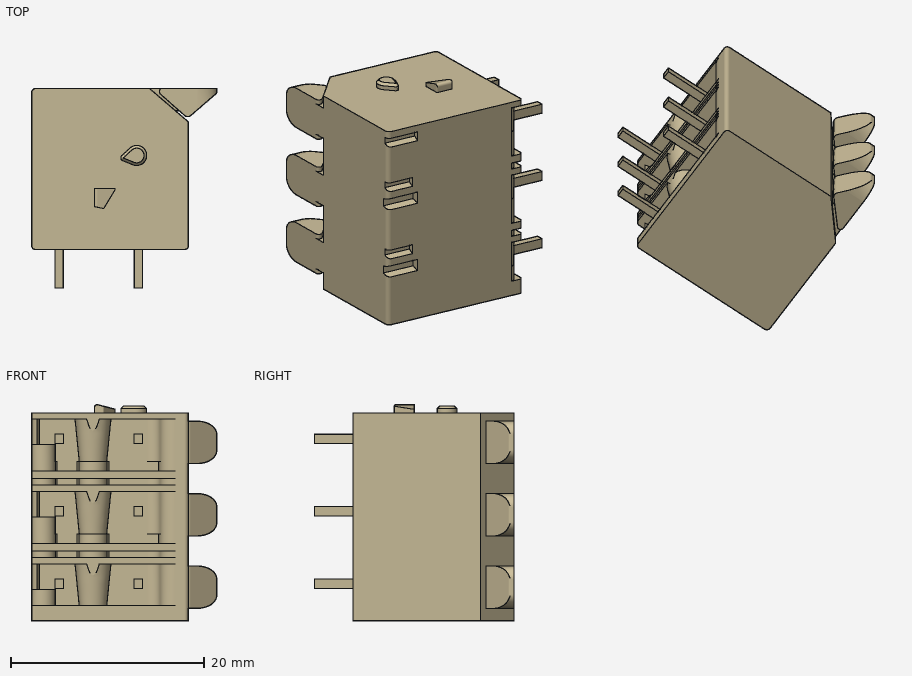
import cadquery as cq
import math


width = 16.25
depth = 16.7
height = 21.55
front_corner_radius = 0.4
rear_corner_radius = 0.45
chamfer_x = 4.05
chamfer_y = 3.47

pole_count = 3
pole_pitch = 7.5
pocket_right = 14.85
pocket_depth = 1.95
pocket_top = 5.92
pocket_bottom = 0.55
lowest_pocket_bottom = 1.6
slot_bottom = -0.9
slot_top = -0.25
foot_top = 1.5
foot_flare = 0.18

column_radius = 1.26
column_x = 1.2
column_y = 1.77
column_top = 3.27
rib_tip_x = 0.5
rib_root_x = 0.82
rib_radius = 1.23
side_opening_depth = 1.39

cone_x = 6.36
cone_y = 1.75
cone_top_radius = 1.87
cone_bottom_radius = 1.43
collar_radius = 1.46

curve_start_x = 12.02
curve_middle_x = 13.34
relief_x = 13.14

pin_width = 0.88
pin_height = 1.0
pin_length = 4.0
pin_z = 3.86
pin_xs = (2.86, 11.06)

lever_end_x = 19.2
lever_height = 4.4
lever_z = 3.5
lever_left_x = 13.25
lever_tip_x = 16.17
lever_tip_drop = 3.1
lever_left_drop = 0.5
lever_end_drop = 0.48
lever_corner_radius = 0.3
lever_tip_radius = 0.5
nose_length = 2.0
nose_rise = 1.4
stem_drop = 2.33
stem_inset = 0.5

narrow_groove_depth = 0.55
wide_groove_depth = 0.85
narrow_groove_flat = 0.64
narrow_groove_slope = 0.34
wide_groove_flat = 0.76
wide_groove_upper_slope = 0.24
wide_groove_lower_slope = 0.24
highest_groove_top = 20.8
narrow_groove_top = 0.84
wide_groove_top = -0.92
short_groove_length = 3.03
long_groove_length = 3.68

drop_key_height = 0.72
drop_key_chamfer = 0.28
drop_big_x = 10.89
drop_big_y = depth - 6.95
drop_big_radius = 1.04
drop_small_x = 9.55
drop_small_y = depth - 7.2
drop_small_radius = 0.31
wedge_high = 0.95
wedge_low = 0.37
wedge_left = 6.5
wedge_right = 8.75
wedge_tip_x = 7.47
wedge_rear_y = depth - 10.35
wedge_left_y = depth - 12.25
wedge_tip_y = depth - 12.45
wedge_corner_radius = 0.12
wedge_edge_radius = 0.3


def block(x0, x1, y0, y1, z0, z1):
    """Box given by its limits along each axis."""
    return cq.Workplane("XY").box(x1 - x0, y1 - y0, z1 - z0, centered=False).translate((x0, y0, z0))


def prism(points, z0, z1):
    """Polygon in the XY plane raised from z0 to z1."""
    return cq.Workplane("XY").workplane(offset=z0).polyline(points).close().extrude(z1 - z0)


def rod(x, y, radius, z0, z1):
    """Upright cylinder from z0 to z1."""
    return cq.Workplane("XY").workplane(offset=z0).center(x, y).circle(radius).extrude(z1 - z0)


def housing():
    body = block(0, width, 0, depth, 0, height)
    body = body.edges("|Z and <Y").fillet(front_corner_radius)
    body = body.edges("|Z and >Y and <X").fillet(rear_corner_radius)
    corner = [(width - chamfer_x, depth), (width, depth - chamfer_y), (width, depth)]
    return body.cut(prism(corner, 0, height))


def foot(x, y, radius, z0, z1):
    """Flared foot where a column meets the pocket floor."""
    outer = radius + foot_flare
    outline = [(x - radius, y), (x + radius, y), (x + outer, pocket_depth), (x - outer, pocket_depth)]
    return prism(outline, z0, z1)


def left_column(base):
    """Round column carrying a slightly slimmer part cut back to a thin rib along the side wall."""
    bottom = base + slot_bottom
    ledge = base + column_top
    top = base + pocket_top
    column = rod(column_x, column_y, column_radius, bottom, ledge)
    rib_round = rod(column_x, column_y, rib_radius, ledge, top)
    column = column.union(rib_round)
    column = column.union(block(0, column_x, side_opening_depth, pocket_depth, bottom, top))
    column_right = column_x + column_radius
    cutaway = prism(
        [
            (rib_tip_x, 0),
            (rib_tip_x, column_y - rib_radius),
            (rib_root_x, pocket_depth),
            (column_right, pocket_depth),
            (column_right, 0),
        ],
        ledge,
        top,
    )
    column = column.cut(cutaway)
    return column.union(foot(column_x, column_y, column_radius, bottom, base + foot_top))


def middle_column(base):
    """Cone that widens upward, standing on a round collar."""
    cone = cq.Workplane(
        cq.Solid.makeCone(
            cone_bottom_radius,
            cone_top_radius,
            pocket_top - foot_top,
            cq.Vector(cone_x, cone_y, base + foot_top),
            cq.Vector(0, 0, 1),
        )
    )
    bottom = base + slot_bottom
    top = base + foot_top
    collar = rod(cone_x, cone_y, collar_radius, bottom, top)
    return cone.union(collar).union(foot(cone_x, cone_y, collar_radius, bottom, top))


def curved_wall(base):
    """S-shaped wall from the pocket floor to the front face, relieved just above the partition."""
    share = (pocket_right - curve_middle_x) / (pocket_right - curve_start_x)
    curve_middle_y = pocket_depth * share
    wall = (
        cq.Workplane("XY")
        .workplane(offset=base + slot_bottom)
        .moveTo(width - front_corner_radius, 0)
        .lineTo(pocket_right, 0)
        .tangentArcPoint((curve_middle_x, curve_middle_y), relative=False)
        .tangentArcPoint((curve_start_x, pocket_depth), relative=False)
        .lineTo(width - front_corner_radius, pocket_depth)
        .close()
        .extrude(pocket_top - slot_bottom)
    )
    relief = prism(
        [
            (curve_start_x, 0),
            (curve_middle_x, 0),
            (curve_middle_x, curve_middle_y),
            (relief_x, pocket_depth),
            (curve_start_x, pocket_depth),
        ],
        base + pocket_bottom,
        base + foot_top,
    )
    return wall.cut(relief)


def pole_openings(index):
    """Front pocket of a pole and, above the lowest pole, the slot in the partition below it."""
    base = index * pole_pitch
    bottom = base + pocket_bottom if index else lowest_pocket_bottom
    opening = block(0, pocket_right, 0, pocket_depth, bottom, base + pocket_top)
    if index:
        slot = block(0, pocket_right, 0, pocket_depth, base + slot_bottom, base + slot_top)
        opening = opening.union(slot)
    return opening


def pins(index):
    z0 = index * pole_pitch + pin_z - pin_height / 2
    pair = cq.Workplane("XY")
    for x in pin_xs:
        half = pin_width / 2
        pair = pair.union(block(x - half, x + half, -pin_length, pocket_depth, z0, z0 + pin_height))
    return pair


def lever(index):
    """Wedge-shaped lever with a rounded nose, held by a stem on the chamfered corner."""
    center = index * pole_pitch + lever_z
    bottom = center - lever_height / 2
    top = center + lever_height / 2
    outline = [
        (lever_left_x, depth),
        (lever_left_x, depth - lever_left_drop),
        (lever_tip_x, depth - lever_tip_drop),
        (lever_end_x, depth - lever_end_drop),
        (lever_end_x, depth),
    ]
    plate = prism(outline, bottom, top)
    plate = plate.edges("|Z and <Y").fillet(lever_tip_radius)
    plate = plate.edges("|Z and >X").edges("<Y").fillet(lever_corner_radius)
    plate = plate.edges("|Z and <X").fillet(lever_corner_radius)
    nose_x = lever_end_x - nose_length
    side = (
        cq.Workplane("XZ", origin=(0, depth, 0))
        .moveTo(lever_left_x, bottom)
        .lineTo(nose_x, bottom)
        .ellipseArc(nose_length, nose_rise, -90, 0)
        .lineTo(lever_end_x, top - nose_rise)
        .ellipseArc(nose_length, nose_rise, 0, 90)
        .lineTo(lever_left_x, top)
        .close()
        .extrude(depth)
    )
    chamfer_slope = chamfer_x / chamfer_y
    stem_front_x = width - chamfer_x + stem_drop * chamfer_slope
    stem = prism(
        [
            (width - chamfer_x, depth),
            (stem_front_x, depth - stem_drop),
            (lever_tip_x, depth - stem_drop),
            (lever_tip_x, depth),
        ],
        bottom + stem_inset,
        top - stem_inset,
    )
    return plate.intersect(side).union(stem)


def groove(top, upper_slope, flat, lower_slope, inset, length):
    """Side groove with sloping flanks, open at the rear."""
    flat_top = top - upper_slope
    flat_bottom = flat_top - flat
    outline = [(0, top), (inset, flat_top), (inset, flat_bottom), (0, flat_bottom - lower_slope)]
    return cq.Workplane("XZ", origin=(0, depth, 0)).polyline(outline).close().extrude(length)


def narrow_groove(top, length):
    return groove(top, 0, narrow_groove_flat, narrow_groove_slope, narrow_groove_depth, length)


def wide_groove(top, length):
    return groove(
        top,
        wide_groove_upper_slope,
        wide_groove_flat,
        wide_groove_lower_slope,
        wide_groove_depth,
        length,
    )


def side_grooves():
    """One narrow groove near the top, and a narrow and a wide one at each joint between poles."""
    cuts = narrow_groove(highest_groove_top, long_groove_length)
    for index in range(1, pole_count):
        base = index * pole_pitch
        cuts = cuts.union(narrow_groove(base + narrow_groove_top, short_groove_length))
        cuts = cuts.union(wide_groove(base + wide_groove_top, long_groove_length))
    return cuts


def drop_key():
    """Drop-shaped key: a large and a small circle joined by their common tangents."""
    dx = drop_small_x - drop_big_x
    dy = drop_small_y - drop_big_y
    heading = math.atan2(dy, dx)
    spread = math.acos((drop_big_radius - drop_small_radius) / math.hypot(dx, dy))

    def on_big(angle):
        return (drop_big_x + drop_big_radius * math.cos(angle), drop_big_y + drop_big_radius * math.sin(angle))

    def on_small(angle):
        return (
            drop_small_x + drop_small_radius * math.cos(angle),
            drop_small_y + drop_small_radius * math.sin(angle),
        )

    key = (
        cq.Workplane("XY")
        .workplane(offset=height)
        .moveTo(*on_big(heading + spread))
        .threePointArc(on_big(heading + math.pi), on_big(heading - spread))
        .lineTo(*on_small(heading - spread))
        .threePointArc(on_small(heading), on_small(heading + spread))
        .close()
        .extrude(drop_key_height)
    )
    return key.faces(">Z").chamfer(drop_key_chamfer)


def wedge_key():
    """Four-sided key whose top slopes down to the right."""
    outline = [
        (wedge_left, wedge_rear_y),
        (wedge_right, wedge_rear_y),
        (wedge_tip_x, wedge_tip_y),
        (wedge_left, wedge_left_y),
    ]
    key = prism(outline, height, height + 2 * wedge_high)
    key = key.edges("|Z").fillet(wedge_corner_radius)
    side = (
        cq.Workplane("XZ", origin=(0, depth, 0))
        .polyline(
            [
                (wedge_left, height),
                (wedge_left, height + wedge_high),
                (wedge_right, height + wedge_low),
                (wedge_right, height),
            ]
        )
        .close()
        .extrude(depth)
        .edges("|Y and <X and >Z")
        .fillet(wedge_edge_radius)
    )
    return key.intersect(side)


body = housing()
for pole in range(pole_count):
    level = pole * pole_pitch
    openings = pole_openings(pole)
    fittings = left_column(level).union(middle_column(level)).union(curved_wall(level))
    body = body.cut(openings.cut(fittings))
    body = body.union(pins(pole)).union(lever(pole))

body = body.cut(side_grooves())
result = body.union(drop_key()).union(wedge_key())